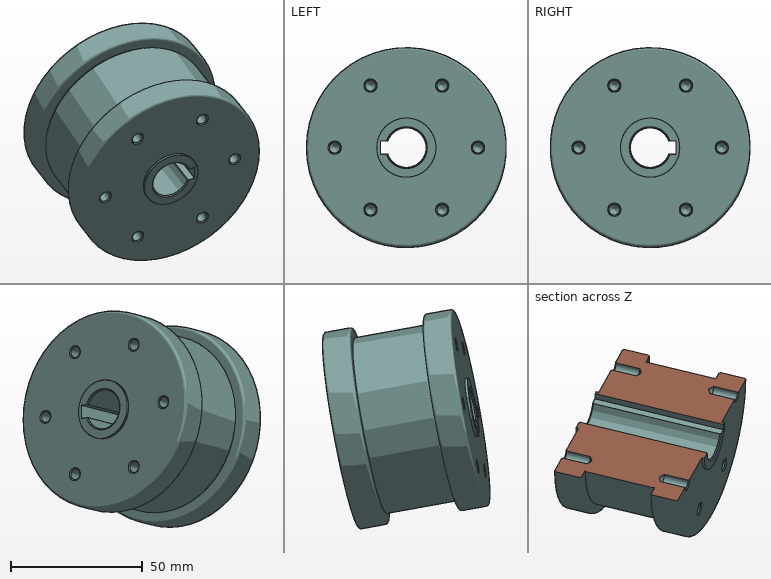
import cadquery as cq
import math

outer_diameter = 76.0
overall_width = 52.0
hub_projection = 1.0
hub_diameter = 22.5

flange_width = 11.0
flange_edge_radius = 1.0
flange_height = 4.0
drum_edge_radius = 0.7

bore_diameter = 15.0
bore_chamfer = 0.45
key_width = 5.0
key_reach = 9.8

hole_count = 6
hole_circle_radius = 27.2
hole_diameter = 4.1
hole_depth = 10.0
hole_mouth_diameter = 5.0
drill_point_angle = 118.0

drum_diameter = outer_diameter - 2 * flange_height
face_distance = overall_width / 2 - hub_projection
drum_width = 2 * (face_distance - flange_width)


def cylinder_along_x(diameter, length):
    """Cylinder on the X axis, centred lengthwise on the origin."""
    return cq.Workplane("YZ", origin=(-length / 2, 0, 0)).circle(diameter / 2).extrude(length)


def make_flange():
    """Disc at the -X end with both rims rounded."""
    return (
        cq.Workplane("YZ", origin=(-face_distance, 0, 0))
        .circle(outer_diameter / 2)
        .extrude(flange_width)
        .edges()
        .fillet(flange_edge_radius)
    )


def make_body():
    """Flanged drum with a hub standing proud of each end face."""
    drum = cylinder_along_x(drum_diameter, drum_width)
    drum = drum.edges().fillet(drum_edge_radius)
    hub = cylinder_along_x(hub_diameter, overall_width)
    flange = make_flange()
    return drum.union(hub).union(flange).union(flange.mirror("YZ"))


def make_bore():
    """Through bore with a chamfer at each mouth and a keyway toward +Y."""
    half = overall_width / 2
    radius = bore_diameter / 2
    mouth_radius = radius + bore_chamfer
    bore = (
        cq.Workplane("XY")
        .moveTo(-half, 0)
        .lineTo(-half, mouth_radius)
        .lineTo(-half + bore_chamfer, radius)
        .lineTo(half - bore_chamfer, radius)
        .lineTo(half, mouth_radius)
        .lineTo(half, 0)
        .close()
        .revolve(360, (0, 0, 0), (1, 0, 0))
    )
    keyway = cq.Workplane("XY").box(overall_width, key_reach, key_width, centered=(True, False, True))
    return bore.union(keyway)


def make_end_holes():
    """Ring of countersunk blind holes with drill points in the -X face."""
    radius = hole_diameter / 2
    mouth_radius = hole_mouth_diameter / 2
    mouth_depth = mouth_radius - radius
    point_depth = radius / math.tan(math.radians(drill_point_angle / 2))
    hole = (
        cq.Workplane("XY")
        .lineTo(0, mouth_radius)
        .lineTo(mouth_depth, radius)
        .lineTo(hole_depth, radius)
        .lineTo(hole_depth + point_depth, 0)
        .close()
        .revolve(360, (0, 0, 0), (1, 0, 0))
        .translate((-face_distance, hole_circle_radius, 0))
    )
    holes = cq.Workplane("XY")
    for index in range(hole_count):
        holes = holes.add(hole.rotate((0, 0, 0), (1, 0, 0), index * 360 / hole_count))
    return holes.combine()


end_holes = make_end_holes()
result = make_body().cut(make_bore()).cut(end_holes).cut(end_holes.mirror("YZ"))